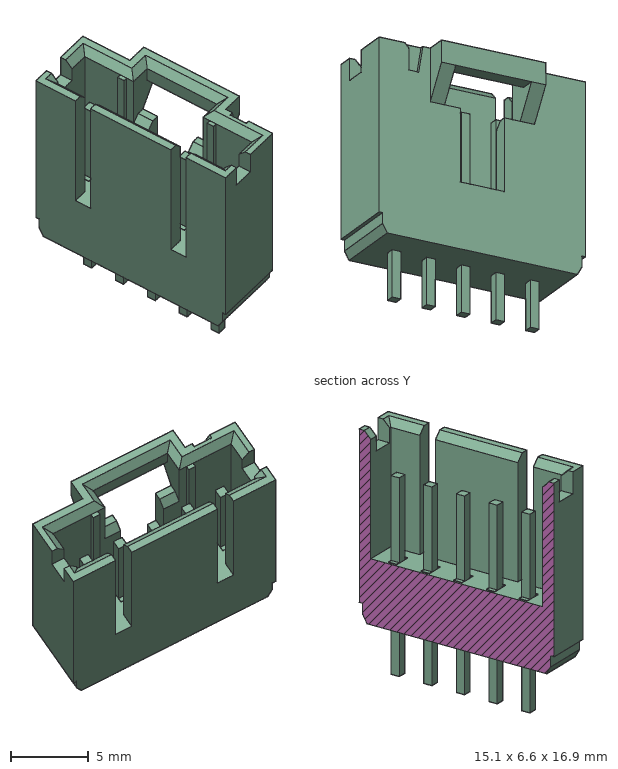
import cadquery as cq


width = 15.12
depth = 5.1
total_height = 16.89
tail_length = 3.31
body_height = total_height - tail_length
wall = 1.03
side_wall = 0.91
floor_z = -8.9
lead_in = 0.5

foot_height = 1.35
foot_inset = 0.25
bevel_height = 0.59
bevel_width = 0.34

hood_width = 7.63
hood_reach = 1.5
hood_drop = 1.55
hood_root_drop = 3.75
hood_wall = 1.05

front_slot_width = 1.2
front_slot_offset = 3.8
latch_gap_width = 3.21
side_notch_width = 1.52
side_notch_depth = 1.55
side_notch_y = 1.93

rib_width = 0.5
rib_reach = 0.29

pin_count = 5
pin_pitch = 2.53
pin_size = 0.65
pin_y = depth / 2
pin_rise = 6.0
shoulder_depth = 1.25
shoulder_rise = 0.03

mark_start_x = 4.35
mark_width = 1.3
mark_reach = 0.25
mark_left_run = 0.3
mark_right_run = 0.27
mark_depth = 1.85
mark_shelf_depth = 0.34

inner_back_y = depth - wall
hood_back_y = depth + hood_reach
hood_inner_y = hood_back_y - hood_wall
hood_inner_half = hood_width / 2 - hood_wall
cavity_half = width / 2 - side_wall


def block(x_size, x_mid, y_min, y_max, z_min, z_max):
    """Axis-aligned box placed by its X middle and its Y and Z limits."""
    return (
        cq.Workplane("XY")
        .box(x_size, y_max - y_min, z_max - z_min, centered=(True, False, False))
        .translate((x_mid, y_min, z_min))
    )


def make_shell():
    """Solid body with the stepped, bevelled foot."""
    half = width / 2
    foot_half = half - foot_inset
    right_side = [
        (half, 0),
        (half, foot_height - body_height),
        (foot_half, foot_height - body_height),
        (foot_half, bevel_height - body_height),
        (foot_half - bevel_width, -body_height),
    ]
    left_side = [(-x, z) for x, z in reversed(right_side)]
    return cq.Workplane("XZ").polyline(right_side + left_side).close().extrude(-depth)


def make_hood():
    """Latch hood behind the back wall, its side walls sloping back underneath."""
    profile = [
        (inner_back_y, 0),
        (hood_back_y, 0),
        (hood_back_y, -hood_drop),
        (depth, -hood_root_drop),
        (inner_back_y, -hood_root_drop),
    ]
    return cq.Workplane("YZ").polyline(profile).close().extrude(hood_width / 2, both=True)


def cavity_outline(growth):
    """Stepped outline of the cavity and hood, widened on every side by growth."""
    right_side = [
        (cavity_half + growth, wall - growth),
        (cavity_half + growth, inner_back_y + growth),
        (hood_inner_half + growth, inner_back_y + growth),
        (hood_inner_half + growth, hood_inner_y + growth),
    ]
    return right_side + [(-x, y) for x, y in reversed(right_side)]


def make_cavity():
    """Mating cavity, its extension through the hood and the lead-in around the rim."""
    main = block(2 * cavity_half, 0, wall, inner_back_y, floor_z, 0)
    window = block(2 * hood_inner_half, 0, inner_back_y, hood_inner_y, -hood_root_drop, 0)
    hood_opening = block(
        2 * hood_inner_half, 0, hood_inner_y, hood_back_y, -hood_root_drop, -hood_drop
    )
    funnel = (
        cq.Workplane("XY", origin=(0, 0, -lead_in))
        .polyline(cavity_outline(0))
        .close()
        .workplane(offset=lead_in)
        .polyline(cavity_outline(lead_in))
        .close()
        .loft(ruled=True)
    )
    return main.union(window).union(hood_opening).union(funnel)


def make_latch_gap():
    """Gap through the back wall below the hood, with a bevel on the sills beside it."""
    gap = block(latch_gap_width, 0, inner_back_y, depth, floor_z, -hood_root_drop)
    sill_bevel = (
        cq.Workplane("YZ")
        .polyline([
            (inner_back_y, -hood_root_drop),
            (inner_back_y + lead_in, -hood_root_drop),
            (inner_back_y, -hood_root_drop - lead_in),
        ])
        .close()
        .extrude(hood_inner_half, both=True)
    )
    return gap.union(sill_bevel)


def make_polarity_mark():
    """Shallow stepped recess in the back face, open at the rim."""
    end_x = mark_start_x + mark_width
    profile = [
        (mark_start_x, 0),
        (mark_start_x + mark_left_run, -mark_depth),
        (end_x - mark_right_run, -mark_depth),
        (end_x - mark_right_run, -mark_shelf_depth),
        (end_x, 0),
    ]
    return (
        cq.Workplane("XZ", origin=(0, depth, 0))
        .polyline(profile)
        .close()
        .extrude(mark_reach)
    )


def make_pin(x):
    """Square pin through the shell floor, with a shoulder just proud of the floor."""
    half = pin_size / 2
    pin = block(pin_size, x, pin_y - half, pin_y + half, -total_height, floor_z + pin_rise)
    shoulder = block(
        pin_size, x,
        pin_y - shoulder_depth / 2, pin_y + shoulder_depth / 2,
        floor_z - pin_size, floor_z + shoulder_rise,
    )
    return pin.union(shoulder)


result = make_shell().union(make_hood())
result = result.cut(make_cavity()).cut(make_latch_gap()).cut(make_polarity_mark())

result = result.cut(
    block(
        width, 0,
        side_notch_y - side_notch_width / 2, side_notch_y + side_notch_width / 2,
        -side_notch_depth, 0,
    )
)

for side in (-1, 1):
    result = result.cut(block(front_slot_width, side * front_slot_offset, 0, wall, floor_z, 0))
    rib_x = side * (hood_width - rib_width) / 2
    result = result.union(
        block(rib_width, rib_x, inner_back_y - rib_reach, inner_back_y, floor_z, -lead_in)
    )

for index in range(pin_count):
    result = result.union(make_pin((index - (pin_count - 1) / 2) * pin_pitch))